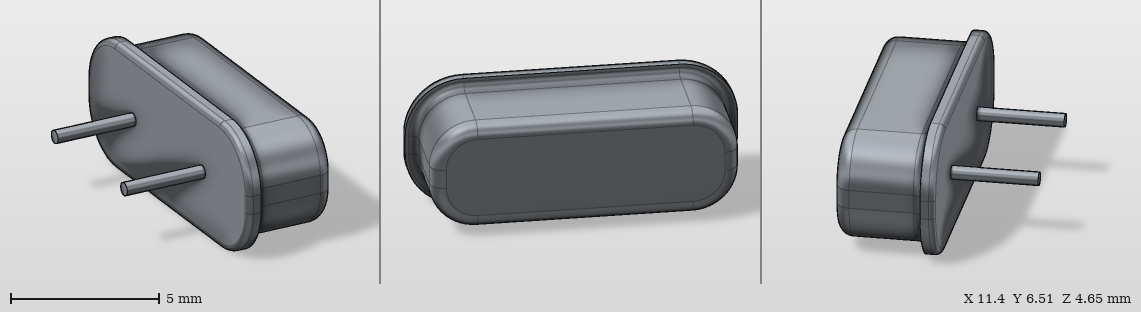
import cadquery as cq

flange_length = 11.35
flange_width = 4.65
flange_thickness = 0.5
flange_corner_radius = 2.0
flange_edge_radius = 0.2

flange_overhang = 0.42
can_length = flange_length - 2 * flange_overhang
can_width = flange_width - 2 * flange_overhang
can_corner_radius = flange_corner_radius - flange_overhang
can_top = 3.51
can_top_radius = 0.5
can_base_radius = 0.31

pin_diameter = 0.47
pin_spacing = 4.88
pin_length = 3.0


def rounded_block(length, width, corner_radius, height):
    """Block with rounded corners, rising along +Y from the XZ plane."""
    return (
        cq.Workplane("XZ")
        .rect(length, width)
        .extrude(-height)
        .edges("|Y")
        .fillet(corner_radius)
    )


def make_flange():
    flange = rounded_block(flange_length, flange_width, flange_corner_radius, flange_thickness)
    return flange.faces("<Y").edges().fillet(flange_edge_radius)


def make_can():
    can = rounded_block(can_length, can_width, can_corner_radius, can_top)
    return can.faces(">Y").edges().fillet(can_top_radius)


def make_pins():
    return (
        cq.Workplane("XZ")
        .pushPoints([(side * pin_spacing / 2, 0) for side in (-1, 1)])
        .circle(pin_diameter / 2)
        .extrude(pin_length)
    )


housing = make_flange().union(make_can())

margin = flange_overhang / 2
can_foot = cq.selectors.BoxSelector(
    (-can_length / 2 - margin, flange_thickness - margin, -can_width / 2 - margin),
    (can_length / 2 + margin, flange_thickness + margin, can_width / 2 + margin),
    boundingbox=True,
)
housing = housing.edges(can_foot).fillet(can_base_radius)

result = housing.union(make_pins())